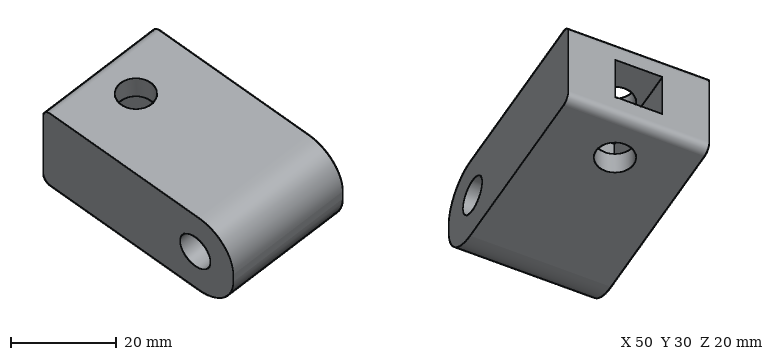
import cadquery as cq

length = 50.0
width = 30.0
height = 20.0
back_radius = 2.0
nose_radius = 9.0

hole_diameter = 8.0
hole_inset = 10.0

socket_side = 10.0
socket_depth = 20.0


def make_block():
    """Block centred on the origin, with rounded edges along Y at both ends."""
    block = cq.Workplane("XY").box(length, width, height)
    block = block.edges("|Y and <X").fillet(back_radius)
    return block.edges("|Y and >X").fillet(nose_radius)


def make_pivot_hole():
    """Cross hole along Y through the rounded nose."""
    return (
        cq.Workplane("XZ")
        .center(length / 2 - hole_inset, 0)
        .circle(hole_diameter / 2)
        .extrude(width / 2, both=True)
    )


def make_vertical_hole():
    """Hole along Z that crosses the square socket and passes through."""
    return (
        cq.Workplane("XY")
        .center(-length / 2 + hole_inset, 0)
        .circle(hole_diameter / 2)
        .extrude(height / 2, both=True)
    )


def make_socket():
    """Blind square socket entering from the centre of the -X face."""
    return (
        cq.Workplane("YZ", origin=(-length / 2, 0, 0))
        .rect(socket_side, socket_side)
        .extrude(socket_depth)
    )


result = make_block().cut(make_pivot_hole()).cut(make_vertical_hole()).cut(make_socket())